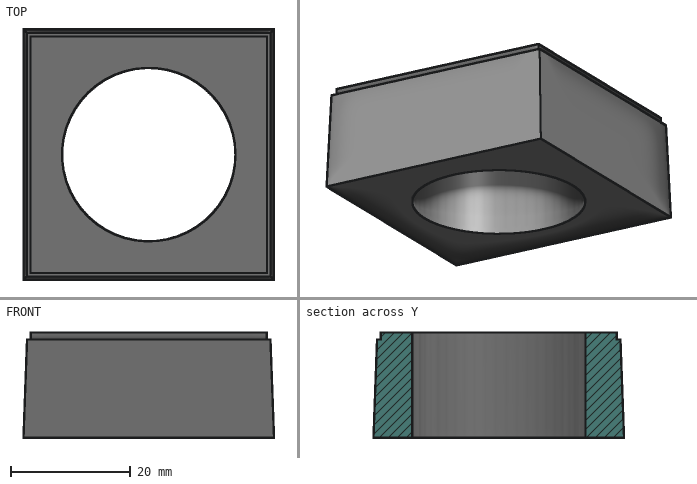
import cadquery as cq

total_height = 17.7
base_side = 42.0
bore_diameter = 29.0

step_inset = 0.6
shoulder_side = base_side - 2 * step_inset
plate_side = shoulder_side - 2 * step_inset
plate_height = 1.2
body_height = total_height - plate_height


def tapered_body():
    """Square block that narrows evenly from its base to the shoulder."""
    return (
        cq.Workplane("XY")
        .rect(base_side, base_side)
        .workplane(offset=body_height)
        .rect(shoulder_side, shoulder_side)
        .loft(ruled=True)
    )


def raised_plate():
    """Straight-sided square plate standing on the shoulder."""
    return (
        cq.Workplane("XY", origin=(0, 0, body_height))
        .rect(plate_side, plate_side)
        .extrude(plate_height)
    )


def bore():
    """Round hole through the full height."""
    return cq.Workplane("XY").circle(bore_diameter / 2).extrude(total_height)


result = tapered_body().union(raised_plate()).cut(bore())